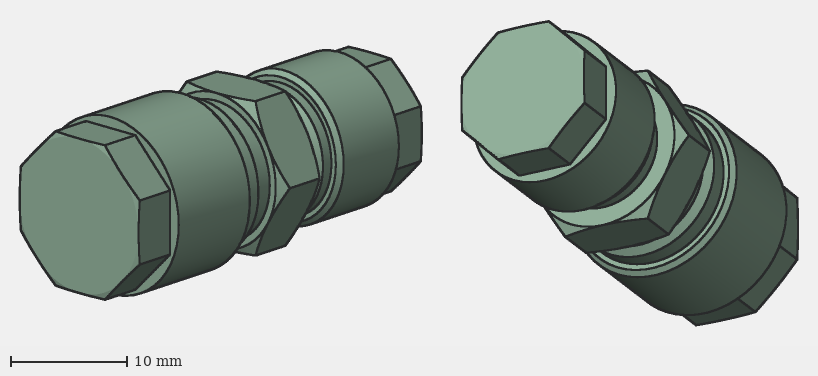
import cadquery as cq
import math

length = 36.9
large_sleeve_dia = 16.0
large_body_dia = 14.0
small_body_dia = 12.0
large_neck_dia = 12.6
small_neck_dia = 10.63
sleeve_chamfer = 0.48
hexagon_bevel_angle = 30.0
octagon_bevel_angle = 15.0
overlap = 0.37
bevel_clearance = 1.1

large_end = -length / 2
small_end = length / 2
octagon_length = 4.0
large_sleeve_length = 9.5
small_sleeve_length = 7.45
large_collar_length = 1.7
small_collar_length = 1.07
hexagon_start = -1.1
hexagon_length = 5.0
hexagon_end = hexagon_start + hexagon_length


def beveled_nut(sides, flats, start, end, bevel_angle, bevel_start, bevel_end):
    """Regular prism along Y with conical bevels on the chosen ends."""
    corner_radius = flats / 2 / math.cos(math.pi / sides)
    turn = 0 if sides == 6 else 180 / sides
    prism = (
        cq.Workplane("XZ", origin=(0, start, 0))
        .transformed(rotate=(0, 0, turn))
        .polygon(sides, 2 * corner_radius)
        .extrude(start - end)
    )
    outer_radius = bevel_clearance * corner_radius
    depth = (outer_radius - flats / 2) * math.tan(math.radians(bevel_angle))
    start_radius = flats / 2 if bevel_start else outer_radius
    end_radius = flats / 2 if bevel_end else outer_radius
    envelope = (
        cq.Workplane("XY")
        .moveTo(0, start)
        .lineTo(start_radius, start)
        .lineTo(outer_radius, start + depth)
        .lineTo(outer_radius, end - depth)
        .lineTo(end_radius, end)
        .lineTo(0, end)
        .close()
        .revolve(360, (0, 0, 0), (0, 1, 0))
    )
    return prism.intersect(envelope)


def turned_side(end, inward, sleeve_dia, sleeve_length, collar_dia, collar_length, neck_dia):
    """Sleeve, tapered collar and neck from one octagon to the middle of the hexagon."""
    sleeve_radius = sleeve_dia / 2
    collar_radius = collar_dia / 2
    neck_radius = neck_dia / 2
    taper = collar_radius - neck_radius
    sleeve_start = end + inward * octagon_length
    sleeve_face = sleeve_start + inward * sleeve_length
    taper_start = sleeve_face + inward * collar_length
    hexagon_middle = (hexagon_start + hexagon_end) / 2
    return (
        cq.Workplane("XY")
        .moveTo(0, sleeve_start)
        .lineTo(sleeve_radius, sleeve_start)
        .lineTo(sleeve_radius, sleeve_face - inward * sleeve_chamfer)
        .lineTo(sleeve_radius - sleeve_chamfer, sleeve_face)
        .lineTo(collar_radius, sleeve_face)
        .lineTo(collar_radius, taper_start)
        .lineTo(neck_radius, taper_start + inward * taper)
        .lineTo(neck_radius, hexagon_middle)
        .lineTo(0, hexagon_middle)
        .close()
        .revolve(360, (0, 0, 0), (0, 1, 0))
    )


large_side = turned_side(
    large_end, 1, large_sleeve_dia, large_sleeve_length,
    large_body_dia, large_collar_length, large_neck_dia,
)
small_side = turned_side(
    small_end, -1, large_body_dia, small_sleeve_length,
    small_body_dia, small_collar_length, small_neck_dia,
)
hexagon = beveled_nut(
    6, large_body_dia, hexagon_start, hexagon_end, hexagon_bevel_angle, True, True
)
large_octagon = beveled_nut(
    8, large_body_dia, large_end, large_end + octagon_length + overlap,
    octagon_bevel_angle, True, False,
)
small_octagon = beveled_nut(
    8, small_body_dia, small_end - octagon_length - overlap, small_end,
    octagon_bevel_angle, False, True,
)

result = hexagon.union(large_side).union(small_side).union(large_octagon).union(small_octagon)